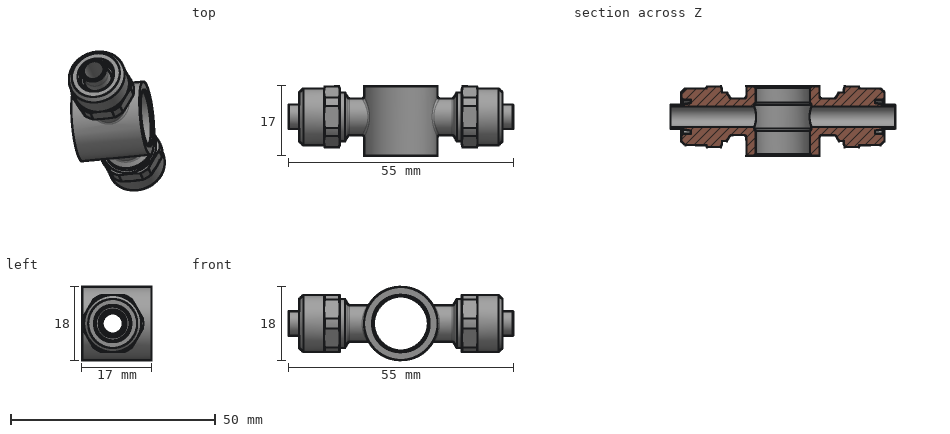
import cadquery as cq
import math

overall_length = 55.0
tip_x = -overall_length / 2

ring_diameter = 18.0
ring_radius = ring_diameter / 2
ring_length = 17.0
ring_bore_radius = 6.6
ring_bore_chamfer = 0.45
groove_half_width = 3.5
groove_depth = 0.4
groove_side_width = 0.65

collar_radius = 7.0
collar_chamfer_length = 1.05
collar_chamfer_height = 1.0
hex_across_flats = 2 * collar_radius
hex_corner_radius = 7.5
hex_back_radius = 6.7
hex_chamfer_slope = 0.36

neck_radius = 4.5
neck_fillet = 0.5
flange_radius = 6.0

insert_radius = 3.0
insert_bore_radius = 2.5
insert_tip_chamfer = 0.2
insert_root_radius = 3.4
recess_mouth_radius = 4.55
recess_radius = 4.1
recess_taper_length = 0.5

collar_start = 2.65
insert_taper_start = 2.75
recess_floor = 4.95
hex_start = 8.75
hex_end = 12.65
flange_end = 13.8
neck_start = 14.7

selection_margin = 0.05

ring_back_y = hex_corner_radius
ring_front_y = ring_back_y - ring_length


def revolve_about_x(points):
    """Revolve an outline of (distance from tip, radius) points about the arm axis."""
    outline = [(tip_x + distance, radius) for distance, radius in points]
    return cq.Workplane("XY").polyline(outline).close().revolve(360, (0, 0, 0), (1, 0, 0))


def ring_body():
    end_face = cq.Workplane("XZ", origin=(0, ring_back_y, 0))
    return end_face.circle(ring_radius).extrude(ring_length)


def ring_bore():
    """Bore with chamfered ends and a slope-sided groove facing the arm passages."""
    mouth_radius = ring_bore_radius + ring_bore_chamfer
    groove_radius = ring_bore_radius + groove_depth
    groove_floor_half_width = groove_half_width - groove_side_width
    return (
        cq.Workplane("XY")
        .polyline([
            (0, ring_front_y),
            (mouth_radius, ring_front_y),
            (ring_bore_radius, ring_front_y + ring_bore_chamfer),
            (ring_bore_radius, -groove_half_width),
            (groove_radius, -groove_floor_half_width),
            (groove_radius, groove_floor_half_width),
            (ring_bore_radius, groove_half_width),
            (ring_bore_radius, ring_back_y - ring_bore_chamfer),
            (mouth_radius, ring_back_y),
            (0, ring_back_y),
        ])
        .close()
        .revolve(360, (0, 0, 0), (0, 1, 0))
    )


def neck_and_flange():
    """Neck reaching the ring centre, widening through a taper to the flange."""
    arm = revolve_about_x([
        (hex_end, 0),
        (hex_end, flange_radius),
        (flange_end, flange_radius),
        (neck_start, neck_radius),
        (-tip_x, neck_radius),
        (-tip_x, 0),
    ])
    corner_x = tip_x + neck_start
    taper_corner = cq.selectors.BoxSelector(
        (corner_x - selection_margin, -flange_radius, -flange_radius),
        (corner_x + selection_margin, flange_radius, flange_radius),
    )
    return arm.edges(taper_corner).fillet(neck_fillet)


def collar():
    return revolve_about_x([
        (collar_start, 0),
        (collar_start, collar_radius - collar_chamfer_height),
        (collar_start + collar_chamfer_length, collar_radius),
        (hex_start, collar_radius),
        (hex_start, 0),
    ])


def hexagon():
    """Hexagon with flats facing up and down, its corners rounded and chamfered."""
    front_chamfer = (hex_corner_radius - collar_radius) * hex_chamfer_slope
    back_chamfer = (hex_corner_radius - hex_back_radius) * hex_chamfer_slope
    turned_blank = revolve_about_x([
        (hex_start, 0),
        (hex_start, collar_radius),
        (hex_start + front_chamfer, hex_corner_radius),
        (hex_end - back_chamfer, hex_corner_radius),
        (hex_end, hex_back_radius),
        (hex_end, 0),
    ])
    across_corners = hex_across_flats / math.cos(math.pi / 6)
    prism = (
        cq.Workplane("YZ", origin=(tip_x + hex_start, 0, 0))
        .polygon(6, across_corners)
        .extrude(hex_end - hex_start)
    )
    return turned_blank.intersect(prism)


def recess():
    """Tapered-mouth hollow in the collar around the insert."""
    return revolve_about_x([
        (collar_start, 0),
        (collar_start, recess_mouth_radius),
        (collar_start + recess_taper_length, recess_radius),
        (recess_floor, recess_radius),
        (recess_floor, 0),
    ])


def insert():
    return revolve_about_x([
        (0, 0),
        (0, insert_radius - insert_tip_chamfer),
        (insert_tip_chamfer, insert_radius),
        (insert_taper_start, insert_radius),
        (recess_floor, insert_root_radius),
        (recess_floor, 0),
    ])


def both_sides(arm_part):
    return arm_part.union(arm_part.mirror("YZ"))


body = ring_body().union(both_sides(neck_and_flange()))
neck_joint = cq.selectors.BoxSelector(
    (-ring_radius, -neck_radius, -neck_radius),
    (ring_radius, neck_radius, neck_radius),
)
body = body.edges(neck_joint).fillet(neck_fillet)

nut = collar().union(hexagon()).cut(recess()).union(insert())
body = body.union(both_sides(nut))

passage = cq.Workplane("YZ", origin=(tip_x, 0, 0)).circle(insert_bore_radius).extrude(overall_length)
result = body.cut(ring_bore()).cut(passage)